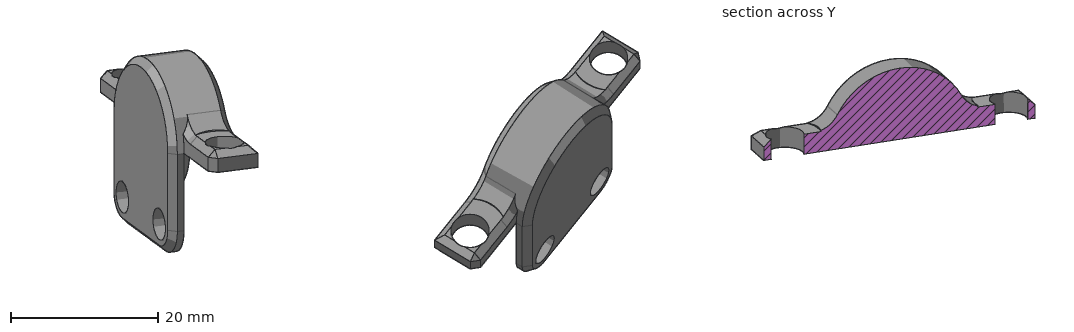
import cadquery as cq
import math

plate_thickness = 2.0
plate_drop = 15.0
plate_corner_radius = 4.0
plate_hole_diameter = 4.4

depth = 8.93
dome_radius = 10.5
edge_chamfer = 1.0

lug_span = 40.0
lug_height = 3.0
lug_fillet_radius = 4.0
lug_hole_diameter = 5.2
lug_hole_spacing = 33.0
spotface_diameter = 10.0

boss_radius = 8.0
boss_height = 1.93
boss_fillet_radius = 1.0

plate_hole_x = dome_radius - plate_corner_radius
plate_hole_z = plate_corner_radius - plate_drop
lug_hole_x = lug_hole_spacing / 2
lug_hole_y = (plate_thickness + depth) / 2


def sketch_plane(y):
    """Plane at the given y with local axes X and Z; a negative extrusion runs toward +Y."""
    return cq.Workplane("XZ", origin=(0, y, 0))


def tangent_fillet(radius, fillet_radius, base_height):
    """Start, middle and end (x, z) of a concave fillet from a flat base to a round at the origin."""
    center_distance = radius + fillet_radius
    center_z = base_height + fillet_radius
    center_x = math.sqrt(center_distance**2 - center_z**2)
    half_angle = math.atan2(center_x, center_z) / 2
    start = (center_x, base_height)
    middle = (
        center_x - fillet_radius * math.sin(half_angle),
        center_z - fillet_radius * math.cos(half_angle),
    )
    end = (center_x * radius / center_distance, center_z * radius / center_distance)
    return start, middle, end


def mirrored(point):
    """The (x, z) point reflected to the other side of the centre plane."""
    return (-point[0], point[1])


def make_plate():
    """Round-topped plate, rounded at its lower corners and chamfered around the front rim."""
    plate = (
        sketch_plane(0)
        .moveTo(-dome_radius, 0)
        .threePointArc((0, dome_radius), (dome_radius, 0))
        .lineTo(dome_radius, -plate_drop)
        .lineTo(-dome_radius, -plate_drop)
        .close()
        .extrude(-plate_thickness)
    )
    plate = plate.edges("|Y and <Z").fillet(plate_corner_radius)
    return plate.faces("<Y").chamfer(edge_chamfer)


def make_dome():
    """Half cylinder behind the plate, chamfered around its back arc."""
    dome = (
        sketch_plane(plate_thickness)
        .moveTo(-dome_radius, 0)
        .threePointArc((0, dome_radius), (dome_radius, 0))
        .close()
        .extrude(plate_thickness - depth)
    )
    return dome.edges(">Y and %CIRCLE").chamfer(edge_chamfer)


def make_lugs():
    """Both lugs with the arch between them, blended by fillets and chamfered along the top."""
    start, middle, end = tangent_fillet(dome_radius, lug_fillet_radius, lug_height)
    lug_end = lug_span / 2
    lugs = (
        sketch_plane(plate_thickness)
        .moveTo(-lug_end, 0)
        .lineTo(-lug_end, lug_height)
        .lineTo(*mirrored(start))
        .threePointArc(mirrored(middle), mirrored(end))
        .threePointArc((0, dome_radius), end)
        .threePointArc(middle, start)
        .lineTo(lug_end, lug_height)
        .lineTo(lug_end, 0)
        .close()
        .extrude(plate_thickness - depth)
    )
    rim = "((<Y or >Y or <X or >X) exc <Z) exc (>Y and |Z)"
    return lugs.edges(rim).chamfer(edge_chamfer)


def make_boss():
    """Half-round boss hanging below z = 0, its ends filleted into the underside of the dome."""
    start, middle, end = tangent_fillet(boss_radius, boss_fillet_radius, 0)
    boss = (
        sketch_plane(plate_thickness)
        .moveTo(*mirrored(start))
        .threePointArc(mirrored(middle), mirrored(end))
        .threePointArc((0, boss_radius), end)
        .threePointArc(middle, start)
        .close()
        .extrude(-boss_height)
    )
    return boss.mirror("XY")


def make_plate_holes():
    """Cutters for the two holes through the plate, concentric with its lower corners."""
    return (
        sketch_plane(0)
        .pushPoints([(-plate_hole_x, plate_hole_z), (plate_hole_x, plate_hole_z)])
        .circle(plate_hole_diameter / 2)
        .extrude(-plate_thickness)
    )


def make_lug_holes():
    """Cutters for the upright lug holes and the round head clearance above the lug tops."""
    centers = [(-lug_hole_x, lug_hole_y), (lug_hole_x, lug_hole_y)]
    holes = cq.Workplane("XY").pushPoints(centers).circle(lug_hole_diameter / 2).extrude(lug_height)
    spotfaces = (
        cq.Workplane("XY", origin=(0, 0, lug_height))
        .pushPoints(centers)
        .circle(spotface_diameter / 2)
        .extrude(lug_fillet_radius)
    )
    return holes.union(spotfaces)


lugs = make_lugs().cut(make_lug_holes())
plate = make_plate().cut(make_plate_holes())
dome_with_lugs = lugs.union(make_dome())
result = plate.union(dome_with_lugs).union(make_boss())